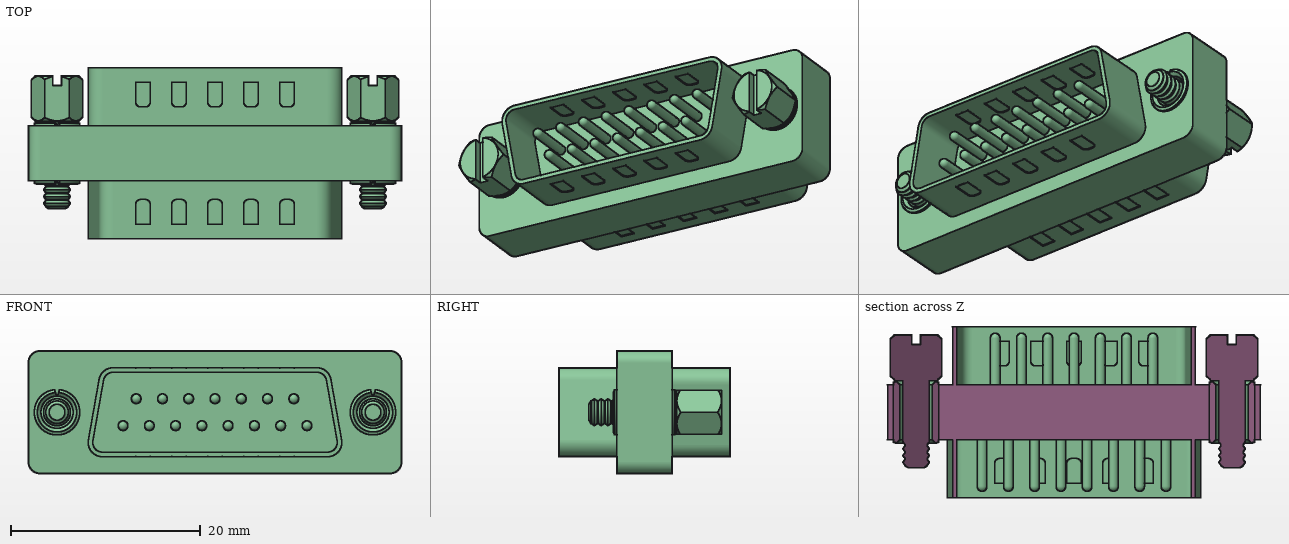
import math

import cadquery as cq


BLOCK_LENGTH = 39.37
BLOCK_DEPTH = 5.83
BLOCK_HEIGHT = 12.95
BLOCK_CORNER = 1.25
BLOCK_FACE = BLOCK_DEPTH / 2

OVERALL_DEPTH = 18.07
SHELL_LENGTH = (OVERALL_DEPTH - BLOCK_DEPTH) / 2
SHELL_RIM = OVERALL_DEPTH / 2
SHELL_WIDTH = 26.75
SHELL_HEIGHT = 9.38
SHELL_CORNER = 1.5
SHELL_WALL = 0.48
SIDE_ANGLE = math.radians(10)

RECESS_COUNT = 5
RECESS_PITCH = 3.8
RECESS_WIDTH = 1.56
RECESS_LENGTH = 2.62
RECESS_CORNER = 0.55
RECESS_DEPTH = 0.12
RECESS_FROM_RIM = 1.54

PIN_RADIUS = 0.51
PIN_PITCH = 2.77
PIN_ROW_SPACING = 2.84
SHORT_ROW_COUNT = 7
LONG_ROW_COUNT = 8
PIN_TIP_FROM_RIM = 0.7
PIN_LENGTH = SHELL_LENGTH - PIN_TIP_FROM_RIM

SCREW_X = 33.32 / 2
SLEEVE_RADIUS = 2.4
SLEEVE_BORE = 1.7
SLEEVE_PROTRUSION = 0.38
SLEEVE_LENGTH = BLOCK_DEPTH + 2 * SLEEVE_PROTRUSION
SLEEVE_RIM = 2.08
SLEEVE_BEVEL = 0.15
SLEEVE_MOUTH = 0.38
SLIT_OUTER_WIDTH = 0.6
SLIT_INNER_WIDTH = 0.1
SLIT_OVERCUT = 0.1

THREAD_CREST = 1.42
THREAD_ROOT = 1.19
THREAD_PITCH = 0.716
RIDGE_COUNT = 4
RIDGE_HALF_WIDTH = 0.3
LAST_RIDGE = BLOCK_FACE + 2.37
TIP_END = BLOCK_FACE + 2.96
TIP_RADIUS = 0.84
TIP_CHAMFER = 0.22
HEAD_ACROSS_CORNERS = 5.45
HEAD_ACROSS_FLATS = 4.65
HEAD_FLAT_WIDTH = 2.6
HEAD_SEAT = SLEEVE_LENGTH / 2
WASHER_FACE_RADIUS = 2.3
WASHER_FACE_HEIGHT = 0.1
HEAD_BOTTOM = HEAD_SEAT + WASHER_FACE_HEIGHT
HEAD_TOP = BLOCK_FACE + 5.23
HEAD_CHAMFER = HEAD_ACROSS_CORNERS / 2 - WASHER_FACE_RADIUS
DRIVER_SLOT_WIDTH = 0.9
DRIVER_SLOT_DEPTH = 1.0


def d_prism(inset, y_start, length):
    """Prism along -Y with the D outline, wide side down, offset inwards by `inset`."""
    corner = SHELL_CORNER - inset
    half_height = SHELL_HEIGHT / 2 - inset
    arc_center_x = SHELL_WIDTH / 2 - SHELL_CORNER
    arc_center_z = -(SHELL_HEIGHT / 2 - SHELL_CORNER)
    slope = math.tan(SIDE_ANGLE)
    middle_half_width = arc_center_x + corner / math.cos(SIDE_ANGLE) + arc_center_z * slope
    top = middle_half_width - half_height * slope
    bottom = middle_half_width + half_height * slope
    return (
        cq.Workplane("XZ", origin=(0, y_start, 0))
        .polyline([(-bottom, -half_height), (bottom, -half_height), (top, half_height), (-top, half_height)])
        .close()
        .extrude(length)
        .edges("|Y")
        .fillet(corner)
    )


def wall_recesses(z_start):
    """Recess cutters of the front shell, starting at height `z_start`, rounded at the block end."""
    rim_end = -SHELL_RIM + RECESS_FROM_RIM
    row = [((i - (RECESS_COUNT - 1) / 2) * RECESS_PITCH, 0) for i in range(RECESS_COUNT)]
    return (
        cq.Workplane("XY", origin=(0, rim_end + RECESS_LENGTH / 2, z_start))
        .pushPoints(row)
        .rect(RECESS_WIDTH, RECESS_LENGTH)
        .extrude(RECESS_DEPTH)
        .edges("|Z and >Y")
        .fillet(RECESS_CORNER)
    )


def contact_pins(count, z):
    """One row of round-ended pins standing on the front face of the block."""
    row = [((i - (count - 1) / 2) * PIN_PITCH, z) for i in range(count)]
    return (
        cq.Workplane("XZ", origin=(0, -BLOCK_FACE, 0))
        .pushPoints(row)
        .circle(PIN_RADIUS)
        .extrude(PIN_LENGTH - PIN_RADIUS)
        .union(
            cq.Workplane("XZ", origin=(0, -BLOCK_FACE - PIN_LENGTH + PIN_RADIUS, 0))
            .pushPoints(row)
            .sphere(PIN_RADIUS)
        )
    )


def front_connector():
    """D shell with recessed walls and two rows of pins."""
    shell = d_prism(0, -BLOCK_FACE, SHELL_LENGTH).cut(d_prism(SHELL_WALL, -BLOCK_FACE, SHELL_LENGTH))
    outer = SHELL_HEIGHT / 2
    inner = outer - SHELL_WALL
    for z_start in (outer - RECESS_DEPTH, inner, -inner - RECESS_DEPTH, -outer):
        shell = shell.cut(wall_recesses(z_start))
    upper_pins = contact_pins(SHORT_ROW_COUNT, PIN_ROW_SPACING / 2)
    lower_pins = contact_pins(LONG_ROW_COUNT, -PIN_ROW_SPACING / 2)
    return shell, upper_pins, lower_pins


def slit_wedge():
    """Wedge on top of a sleeve centred on the Y axis, widening from the bore to the outside."""
    inner = SLIT_INNER_WIDTH / 2
    outer = SLIT_OUTER_WIDTH / 2
    bottom = math.sqrt(SLEEVE_BORE**2 - inner**2)
    top = SLEEVE_RADIUS + SLIT_OVERCUT
    outline = [(-inner, bottom), (inner, bottom), (outer, top), (-outer, top)]
    return cq.Workplane("XZ").polyline(outline).close().extrude(SLEEVE_LENGTH, both=True)


def sleeve_hole(x):
    """Cutter for a sleeve's hole, leaving a key of the block inside the slit."""
    round_hole = cq.Workplane("XZ").circle(SLEEVE_RADIUS).extrude(BLOCK_DEPTH, both=True)
    return round_hole.cut(slit_wedge()).translate((x, 0, 0))


def make_housing():
    body = (
        cq.Workplane("XY")
        .box(BLOCK_LENGTH, BLOCK_DEPTH, BLOCK_HEIGHT)
        .edges("|Y")
        .fillet(BLOCK_CORNER)
    )
    for x in (-SCREW_X, SCREW_X):
        body = body.cut(sleeve_hole(x))
    for connector_part in front_connector():
        body = body.union(connector_part)
        body = body.union(connector_part.rotate((0, 0, 0), (1, 0, 0), 180))
    return body


def make_sleeve(x):
    """Split tube through the block, with bevelled ends and a wedge-shaped slit on top."""
    end = SLEEVE_LENGTH / 2
    profile = [
        (SLEEVE_BORE, -end + SLEEVE_MOUTH),
        (SLEEVE_RIM, -end),
        (SLEEVE_RADIUS, -end + SLEEVE_BEVEL),
        (SLEEVE_RADIUS, end - SLEEVE_BEVEL),
        (SLEEVE_RIM, end),
        (SLEEVE_BORE, end - SLEEVE_MOUTH),
    ]
    tube = cq.Workplane("XY").polyline(profile).close().revolve(360, (0, 0, 0), (0, 1, 0))
    return tube.cut(slit_wedge()).translate((x, 0, 0))


def screw_shank():
    """Shank with ring-shaped thread ridges, tip towards -Y, up to the head."""
    profile = [(0, -TIP_END), (TIP_RADIUS, -TIP_END), (THREAD_ROOT, -TIP_END + TIP_CHAMFER)]
    for i in range(RIDGE_COUNT):
        crest = -LAST_RIDGE + i * THREAD_PITCH
        profile.append((THREAD_ROOT, crest - RIDGE_HALF_WIDTH))
        profile.append((THREAD_CREST, crest))
        if i < RIDGE_COUNT - 1:
            profile.append((THREAD_ROOT, crest + RIDGE_HALF_WIDTH))
    profile += [
        (THREAD_CREST, HEAD_SEAT),
        (WASHER_FACE_RADIUS, HEAD_SEAT),
        (WASHER_FACE_RADIUS, HEAD_BOTTOM),
        (0, HEAD_BOTTOM),
    ]
    return cq.Workplane("XY").polyline(profile).close().revolve(360, (0, 0, 0), (0, 1, 0))


def screw_head():
    """Slotted hexagon with corners on X, both ends chamfered by a cone."""
    corner = HEAD_ACROSS_CORNERS / 2
    flat = HEAD_ACROSS_FLATS / 2
    side = HEAD_FLAT_WIDTH / 2
    outline = [(corner, 0), (side, flat), (-side, flat), (-corner, 0), (-side, -flat), (side, -flat)]
    height = HEAD_TOP - HEAD_BOTTOM
    hexagon = cq.Workplane("XZ", origin=(0, HEAD_TOP, 0)).polyline(outline).close().extrude(height)
    envelope = (
        cq.Workplane("XZ", origin=(0, HEAD_TOP, 0))
        .circle(corner)
        .extrude(height)
        .edges()
        .chamfer(HEAD_CHAMFER)
    )
    slot = cq.Workplane("XY").box(DRIVER_SLOT_WIDTH, 2 * DRIVER_SLOT_DEPTH, 2 * HEAD_ACROSS_FLATS)
    return hexagon.intersect(envelope).cut(slot.translate((0, HEAD_TOP, 0)))


def make_screw(x):
    return screw_shank().union(screw_head()).translate((x, 0, 0))


housing = make_housing()
bodies = [housing.val()]
for screw_x in (-SCREW_X, SCREW_X):
    bodies.append(make_sleeve(screw_x).val())
    bodies.append(make_screw(screw_x).val())

result = cq.Compound.makeCompound(bodies)